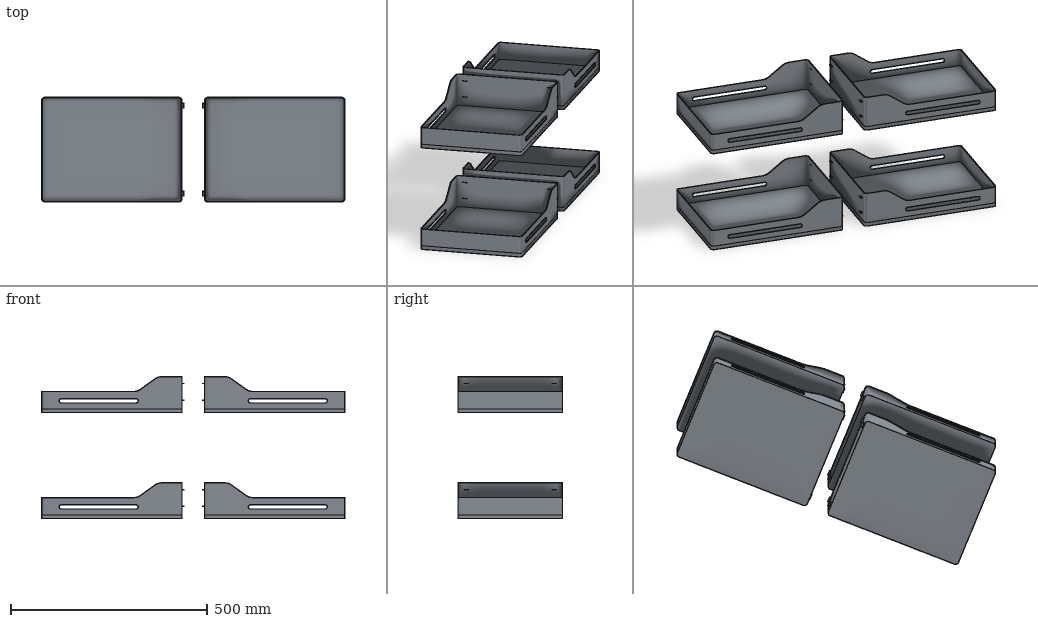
import cadquery as cq

overall_length = 772.0
level_pitch = 270.0
level_count = 2

tray_length = 357.5
tray_width = 267.0
back_height = 92.0
front_height = 54.0
wall = 2.0
floor_thickness = 9.0
corner_radius = 8.5

step_top_distance = 61.0
step_foot_distance = 113.5
step_blend_radius = 30.0

slot_length = 201.0
slot_height = 10.0
slot_start = 45.0
slot_center_height = 30.0

tab_reach = 5.0
tab_width = 12.0
tab_thickness = 1.0
tab_edge_offset = 22.0
tab_heights = (32.0, 74.0)


def tray_shell():
    """Full-height box with rounded corners, hollowed down to the floor."""
    outer = (
        cq.Workplane("XY")
        .box(tray_length, tray_width, back_height, centered=(False, True, False))
        .edges("|Z")
        .fillet(corner_radius)
    )
    cavity = (
        cq.Workplane("XY", origin=(wall, 0, floor_thickness))
        .box(
            tray_length - 2 * wall,
            tray_width - 2 * wall,
            back_height - floor_thickness,
            centered=(False, True, False),
        )
        .edges("|Z")
        .fillet(corner_radius - wall)
    )
    return outer.cut(cavity)


def side_profile():
    """Prism of the side outline: low front, blended slope, high back."""
    step_top = (tray_length - step_top_distance, back_height)
    step_foot = (tray_length - step_foot_distance, front_height)
    prism = (
        cq.Workplane("XZ")
        .polyline([
            (0, 0),
            (tray_length, 0),
            (tray_length, back_height),
            step_top,
            step_foot,
            (0, front_height),
        ])
        .close()
        .extrude(tray_width / 2, both=True)
    )
    for x, z in (step_top, step_foot):
        prism = prism.edges(cq.NearestToPointSelector((x, 0, z))).fillet(step_blend_radius)
    return prism


def side_slots():
    """Round-ended cutter that passes through both side walls."""
    return (
        cq.Workplane("XZ")
        .center(slot_start + slot_length / 2, slot_center_height)
        .slot2D(slot_length, slot_height)
        .extrude(tray_width, both=True)
    )


def back_tabs():
    """Four flat tabs, rooted in the back wall so that they join it."""
    tab_y = tray_width / 2 - tab_edge_offset
    points = [(side * tab_y, height) for side in (-1, 1) for height in tab_heights]
    return (
        cq.Workplane("YZ", origin=(tray_length - wall / 2, 0, 0))
        .pushPoints(points)
        .rect(tab_width, tab_thickness)
        .extrude(wall / 2 + tab_reach)
    )


def make_tray():
    """One tray with its front wall on X = 0 and its back wall toward +X."""
    return tray_shell().intersect(side_profile()).cut(side_slots()).union(back_tabs())


left_tray = make_tray().translate((-overall_length / 2, 0, 0))
right_tray = left_tray.mirror("YZ")

trays = []
for level in range(level_count):
    for tray in (left_tray, right_tray):
        trays.append(tray.translate((0, 0, level * level_pitch)).val())

result = cq.Compound.makeCompound(trays)